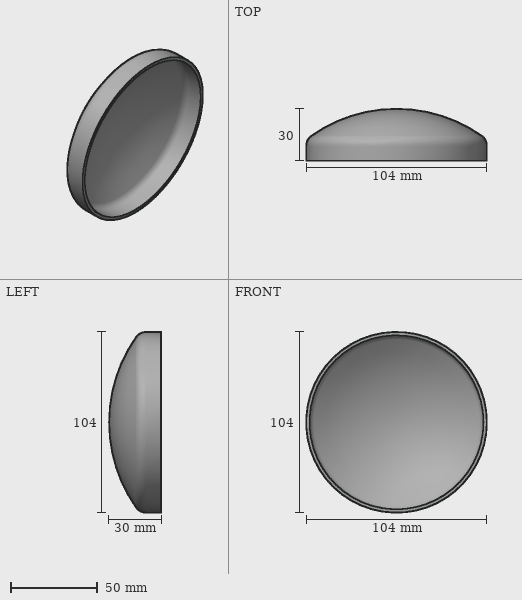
import cadquery as cq
import math

outer_radius = 52.0
total_depth = 30.0
wall = 2.0
knuckle_radius = 7.0
crown_radius = 85.0

knuckle_center_radius = outer_radius - knuckle_radius
crown_center_y = total_depth - crown_radius
tangent_angle = math.asin(knuckle_center_radius / (crown_radius - knuckle_radius))
skirt_depth = crown_center_y + (crown_radius - knuckle_radius) * math.cos(tangent_angle)


def crown_point(offset, angle):
    """Point on the crown, moved inward by offset, at an angle from the Y axis."""
    radius = crown_radius - offset
    return (radius * math.sin(angle), crown_center_y + radius * math.cos(angle))


def knuckle_middle(offset):
    """Middle point of the knuckle arc, moved inward by offset."""
    radius = knuckle_radius - offset
    angle = (tangent_angle + math.pi / 2) / 2
    return (
        knuckle_center_radius + radius * math.sin(angle),
        skirt_depth + radius * math.cos(angle),
    )


def make_dome():
    """Revolve the constant-thickness wall: skirt, knuckle and crown."""
    inner_radius = outer_radius - wall
    half_angle = tangent_angle / 2
    profile = (
        cq.Workplane("XY")
        .moveTo(inner_radius, 0)
        .lineTo(outer_radius, 0)
        .lineTo(outer_radius, skirt_depth)
        .threePointArc(knuckle_middle(0), crown_point(0, tangent_angle))
        .threePointArc(crown_point(0, half_angle), crown_point(0, 0))
        .lineTo(*crown_point(wall, 0))
        .threePointArc(crown_point(wall, half_angle), crown_point(wall, tangent_angle))
        .threePointArc(knuckle_middle(wall), (inner_radius, skirt_depth))
        .close()
    )
    return profile.revolve(360, (0, 0, 0), (0, 1, 0))


result = make_dome()